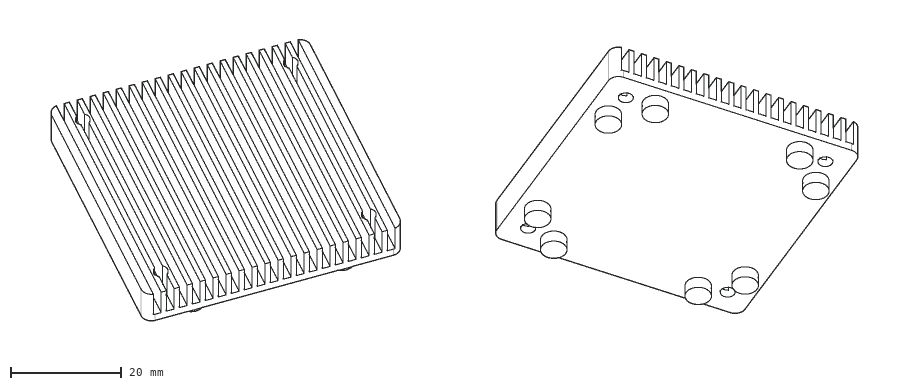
import cadquery as cq

side = 49.8
total_height = 9.4
boss_height = 2.4
body_height = total_height - boss_height
corner_radius = 2.0

slot_count = 19
slot_width = 1.5
outer_wall = 1.65
floor_thickness = 1.65
slot_pitch = (side - 2 * outer_wall - slot_width) / (slot_count - 1)

hole_diameter = 2.7
hole_offset = 20.0
boss_diameter = 4.8
outer_boss_offset = 20.8
inner_boss_offset = 14.5


def make_body():
    """Square block with rounded vertical corners, resting on Z = 0."""
    block = cq.Workplane("XY").box(side, side, body_height, centered=(True, True, False))
    return block.edges("|Z").fillet(corner_radius)


def make_slots():
    """Row of parallel slots that leaves thin fins standing on the floor."""
    return (
        cq.Workplane("XY", origin=(0, 0, floor_thickness))
        .rarray(0.5, slot_pitch, 1, slot_count)
        .rect(side, slot_width)
        .extrude(body_height - floor_thickness)
    )


def make_bosses(x_offset, y_offset):
    """Four round bosses below the body, mirrored about both centre planes."""
    return (
        cq.Workplane("XY")
        .rect(2 * x_offset, 2 * y_offset, forConstruction=True)
        .vertices()
        .circle(boss_diameter / 2)
        .extrude(-boss_height)
    )


def make_holes():
    """Four mounting holes through the body, clear of the bosses."""
    return (
        cq.Workplane("XY")
        .rect(2 * hole_offset, 2 * hole_offset, forConstruction=True)
        .vertices()
        .circle(hole_diameter / 2)
        .extrude(body_height)
    )


result = make_body().cut(make_slots())
result = result.union(make_bosses(outer_boss_offset, inner_boss_offset))
result = result.union(make_bosses(inner_boss_offset, outer_boss_offset))
result = result.cut(make_holes())